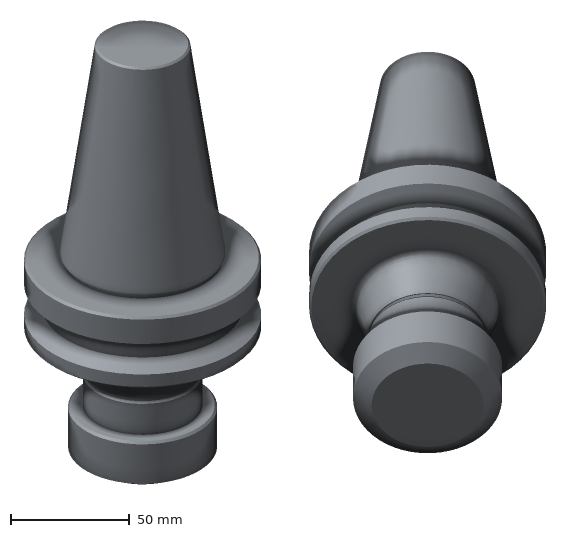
import cadquery as cq

total_height = 201.8
edge_chamfer = 1.0

nut_radius = 31.5
nut_face_radius = 23.6
nut_bevel_height = 4.8
nut_top = 25.2

neck_radius = 25.2
neck_top = 41.4
neck_chamfer = 1.0
relief_radius = 24.6
flare_bottom = 43.0
flare_bottom_radius = 25.0
flare_top = 60.0
flare_top_radius = 30.0

flange_radius = 50.0
flange_bottom = 62.4
flare_fillet = flange_bottom - flare_top
flange_top = 97.3
groove_radius = 42.4
groove_floor_bottom = 73.3
groove_floor_top = 80.5
groove_side_height = 3.8

collar_radius = 34.1
taper_bottom = 100.0
band_bottom = 99.5
taper_radius = 35.0
taper_ratio = 7 / 24
shank_chamfer = 0.8


def cylinder(radius, bottom, top):
    return cq.Workplane("XY").workplane(offset=bottom).circle(radius).extrude(top - bottom)


def turned(points):
    """Revolve an (r, z) outline around Z."""
    return cq.Workplane("XZ").polyline(points).close().revolve(360, (0, 0), (0, 1))


def make_nut():
    bevel_drop = nut_radius - nut_face_radius
    nut = cylinder(nut_radius, 0, nut_top)
    nut = nut.faces("<Z").chamfer(nut_bevel_height, bevel_drop)
    return nut.faces(">Z").chamfer(edge_chamfer)


def make_neck():
    neck = cylinder(neck_radius, nut_top, neck_top).faces(">Z").chamfer(neck_chamfer)
    return neck.union(cylinder(relief_radius, neck_top, flare_bottom))


def make_flare():
    cone = turned([
        (0, flare_bottom),
        (flare_bottom_radius, flare_bottom),
        (flare_top_radius, flare_top),
        (0, flare_top),
    ])
    root = (
        cq.Workplane("XZ")
        .moveTo(0, flare_top)
        .lineTo(flare_top_radius, flare_top)
        .radiusArc((flare_top_radius + flare_fillet, flange_bottom), flare_fillet)
        .lineTo(0, flange_bottom)
        .close()
        .revolve(360, (0, 0), (0, 1))
    )
    return cone.union(root)


def make_flange():
    flange = cylinder(flange_radius, flange_bottom, flange_top)
    flange = flange.faces("<Z or >Z").chamfer(edge_chamfer)
    groove = turned([
        (groove_radius, groove_floor_bottom),
        (flange_radius, groove_floor_bottom - groove_side_height),
        (flange_radius, groove_floor_top + groove_side_height),
        (groove_radius, groove_floor_top),
    ])
    return flange.cut(groove)


def make_shank():
    taper_height = total_height - taper_bottom
    tip_radius = taper_radius - taper_height * taper_ratio / 2
    taper = turned([
        (0, taper_bottom),
        (taper_radius, taper_bottom),
        (tip_radius, total_height),
        (0, total_height),
    ])
    taper = taper.faces(">Z").chamfer(shank_chamfer)
    band = cylinder(taper_radius, band_bottom, taper_bottom)
    collar = cylinder(collar_radius, flange_top, band_bottom)
    return taper.union(band).union(collar)


result = make_nut()
for section in (make_neck(), make_flare(), make_flange(), make_shank()):
    result = result.union(section)